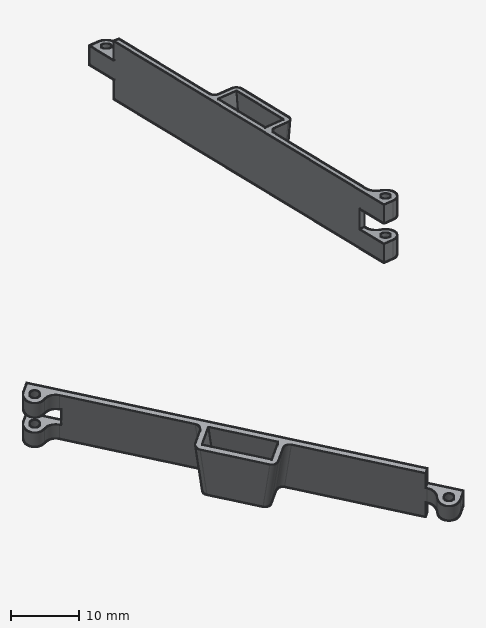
import cadquery as cq
import math

length = 66.5
height = 10.0
wall = 1.0

knuckle_radius = 1.7
knuckle_rise = 1.8
pin_diameter = 1.5
knuckle_fillet = 2.0
hinge_depth = 5.5
tab_height = 3.3
gap_height = 3.45

loop_width = 12.65
loop_rise = 5.5
loop_lean = 6.0
loop_inset = height * math.tan(math.radians(loop_lean))
loop_radius = 1.0


def prism(sketch):
    """Extrude a plan outline over the full height, centred on Z = 0."""
    return sketch.extrude(height / 2, both=True)


def block(x_min, x_max, y_min, y_max, z_size=height):
    """Box between the given X and Y limits, centred on Z = 0."""
    return cq.Workplane("XY").box(x_max - x_min, y_max - y_min, z_size).translate(
        ((x_min + x_max) / 2, (y_min + y_max) / 2, 0)
    )


def knuckle():
    """Hinge knuckle at the -X end, blended into the plate by a concave arc."""
    end = -length / 2
    axis_x = end + knuckle_radius
    blend_y = wall + knuckle_fillet
    centre_distance = knuckle_radius + knuckle_fillet
    blend_x = axis_x + math.sqrt(centre_distance**2 - (blend_y - knuckle_rise) ** 2)
    share = knuckle_radius / centre_distance
    touch = (
        axis_x + share * (blend_x - axis_x),
        knuckle_rise + share * (blend_y - knuckle_rise),
    )
    touch_angle = math.atan2(touch[1] - blend_y, touch[0] - blend_x) % (2 * math.pi)
    middle_angle = (touch_angle + 1.5 * math.pi) / 2
    blend_middle = (
        blend_x + knuckle_fillet * math.cos(middle_angle),
        blend_y + knuckle_fillet * math.sin(middle_angle),
    )
    outline = (
        cq.Workplane("XY")
        .moveTo(end, 0)
        .lineTo(end, knuckle_rise)
        .threePointArc((axis_x, knuckle_rise + knuckle_radius), touch)
        .threePointArc(blend_middle, (blend_x, wall))
        .lineTo(blend_x, 0)
        .close()
    )
    pin_hole = prism(cq.Workplane("XY").center(axis_x, knuckle_rise).circle(pin_diameter / 2))
    return prism(outline).cut(pin_hole)


def tapered_block(top_width, y_min, y_max):
    """Full-height block whose two sides lean inwards towards -Z."""
    half_top = top_width / 2
    half_bottom = half_top - loop_inset
    outline = [
        (-half_top, height / 2),
        (half_top, height / 2),
        (half_bottom, -height / 2),
        (-half_bottom, -height / 2),
    ]
    solid = cq.Workplane("XZ").polyline(outline).close().extrude(y_min - y_max)
    return solid.translate((0, y_min, 0))


def plate_with_loop():
    """Plate with the tapered loop, rounded at its outer corners and its roots."""
    plate_end = length / 2 - hinge_depth
    plate = block(-plate_end, plate_end, 0, wall)
    loop = tapered_block(loop_width, 0, loop_rise)
    loop = loop.faces(">Y").edges("not #Z").fillet(loop_radius)
    roots = cq.selectors.BoxSelector(
        (-loop_width, wall / 2, -height / 4),
        (loop_width, wall * 1.5, height / 4),
    )
    body = plate.union(loop).edges(roots).fillet(loop_radius)
    opening = tapered_block(loop_width - 2 * wall, wall, loop_rise - wall)
    return body.cut(opening)


def hinge_end():
    """Full-height -X end strip of the part, knuckle included."""
    start = -length / 2
    strip = block(start + 2 * knuckle_radius, start + hinge_depth, 0, wall)
    return strip.union(knuckle())


def hinge_zone(z_size):
    """Space taken by the -X hinge end over a limited height."""
    return block(-length / 2, hinge_depth - length / 2, 0, loop_rise, z_size)


tab = hinge_end().intersect(hinge_zone(tab_height))
ears = hinge_end().cut(hinge_zone(gap_height)).mirror("YZ")

result = plate_with_loop().union(tab).union(ears)